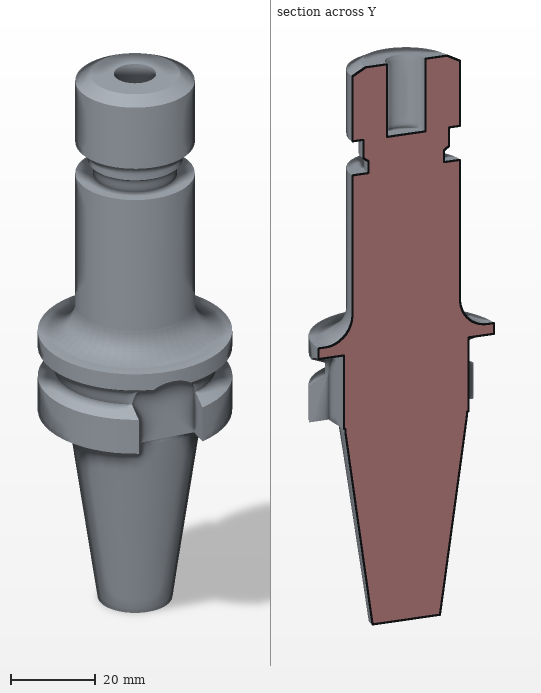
import cadquery as cq

taper_length = 48.5
taper_slope = 7 / 48
gauge_radius = 15.9
taper_tip_radius = gauge_radius - taper_length * taper_slope

flange_radius = 23.0
flange_bottom_z = 49.4
flange_top_z = 70.5
groove_radius = 19.1
groove_bottom_z = 58.4
groove_floor_bottom_z = 60.5
groove_floor_top_z = 64.1
groove_top_z = 66.2

slot_width = 16.3
slot_floor_distance = 16.3
slot_arch_center_z = 59.5

body_radius = 14.1
body_top_z = 112.1
blend_radius = 7.0

neck_radius = 10.0
neck_top_z = 115.0
collar_radius = 11.2
collar_chamfer_height = 0.8
nut_radius = body_radius
nut_bottom_z = 120.4
nut_face_radius = 10.7
nut_chamfer_height = 1.8
total_height = 138.4

bore_radius = 5.0
bore_depth = total_height - nut_bottom_z


def make_turned_body():
    """Revolve the half profile around the Z axis."""
    profile = (
        cq.Workplane("XZ")
        .lineTo(taper_tip_radius, 0)
        .lineTo(gauge_radius, taper_length)
        .lineTo(gauge_radius, flange_bottom_z)
        .lineTo(flange_radius, flange_bottom_z)
        .lineTo(flange_radius, groove_bottom_z)
        .lineTo(groove_radius, groove_floor_bottom_z)
        .lineTo(groove_radius, groove_floor_top_z)
        .lineTo(flange_radius, groove_top_z)
        .lineTo(flange_radius, flange_top_z)
        .lineTo(body_radius + blend_radius, flange_top_z)
        .radiusArc((body_radius, flange_top_z + blend_radius), blend_radius)
        .lineTo(body_radius, body_top_z)
        .lineTo(neck_radius, body_top_z)
        .lineTo(neck_radius, neck_top_z)
        .lineTo(collar_radius, neck_top_z + collar_chamfer_height)
        .lineTo(collar_radius, nut_bottom_z)
        .lineTo(nut_radius, nut_bottom_z)
        .lineTo(nut_radius, total_height - nut_chamfer_height)
        .lineTo(nut_face_radius, total_height)
        .lineTo(0, total_height)
        .close()
    )
    return profile.revolve(360, (0, 0, 0), (0, 1, 0))


def make_drive_slot(side):
    """Arched slot cutter, outward from the slot floor; side is -1 or 1 along X."""
    half_width = slot_width / 2
    return (
        cq.Workplane("YZ", origin=(side * slot_floor_distance, 0, 0))
        .moveTo(-half_width, flange_bottom_z)
        .lineTo(half_width, flange_bottom_z)
        .lineTo(half_width, slot_arch_center_z)
        .threePointArc((0, slot_arch_center_z + half_width), (-half_width, slot_arch_center_z))
        .close()
        .extrude(side * flange_radius)
    )


result = make_turned_body()
for slot_side in (-1, 1):
    result = result.cut(make_drive_slot(slot_side))
result = result.faces(">Z").workplane().hole(2 * bore_radius, bore_depth)